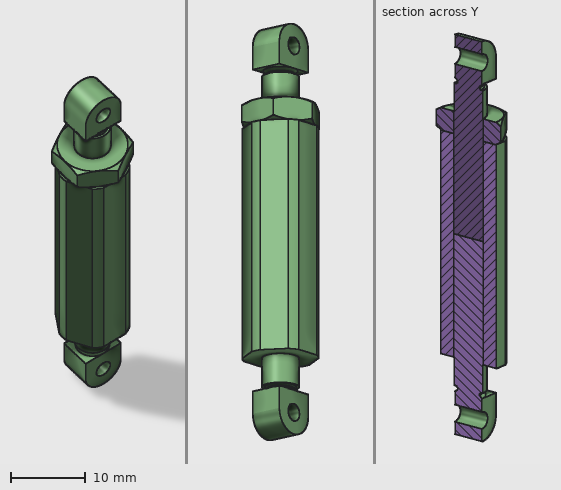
import cadquery as cq
import math


overall_length = 56.69
barrel_length = 31.75
barrel_flats = 9.525
barrel_corner_diameter = 10.24

nut_thickness = 3.175
nut_corner_width = 11.0
nut_face_diameter = 9.45
nut_chamfer_angle = 30.0

rod_diameter = 4.95
rod_exposed_length = 3.98

eye_width = 6.0
eye_thickness = 4.65
eye_hole_diameter = 2.35

neck_groove_diameter = 3.75
neck_shoulder_diameter = 4.2
neck_taper_height = 0.4
neck_land_height = 0.15
neck_flare_height = 0.25

neck_height = neck_flare_height + neck_land_height + neck_taper_height
eye_radius = eye_width / 2
assembly_half = overall_length / 2
eye_centre_z = assembly_half - eye_radius
eye_projection = (overall_length - barrel_length - nut_thickness) / 2
barrel_bottom_z = -assembly_half + eye_projection
barrel_top_z = barrel_bottom_z + barrel_length
nut_top_z = barrel_top_z + nut_thickness
shoulder_z = nut_top_z + rod_exposed_length
eye_base_z = shoulder_z + neck_height


def across_corners(flats):
    """Corner-to-corner width of a hexagon with the given width across flats."""
    return flats / math.cos(math.radians(30))


def cylinder(diameter, bottom_z, top_z):
    """Cylinder on the Z axis between two levels."""
    return cq.Workplane("XY").workplane(offset=bottom_z).circle(diameter / 2).extrude(top_z - bottom_z)


def make_barrel():
    """Hexagonal barrel with corners along Y, turned to round them off, and bored through."""
    hexagon = (
        cq.Workplane("XY")
        .workplane(offset=barrel_bottom_z)
        .polygon(6, across_corners(barrel_flats))
        .extrude(barrel_length)
        .rotate((0, 0, 0), (0, 0, 1), 30)
    )
    rounding = cylinder(barrel_corner_diameter, barrel_bottom_z, barrel_top_z)
    bore = cylinder(rod_diameter, barrel_bottom_z, barrel_top_z)
    return hexagon.intersect(rounding).cut(bore)


def make_nut():
    """Hexagonal nut with corners along X and both faces chamfered by a cone."""
    face_radius = nut_face_diameter / 2
    corner_radius = nut_corner_width / 2
    chamfer_drop = (corner_radius - face_radius) * math.tan(math.radians(nut_chamfer_angle))
    hexagon = (
        cq.Workplane("XY")
        .workplane(offset=barrel_top_z)
        .polygon(6, nut_corner_width)
        .extrude(nut_thickness)
    )
    turned_envelope = (
        cq.Workplane("XZ")
        .moveTo(0, barrel_top_z)
        .lineTo(face_radius, barrel_top_z)
        .lineTo(corner_radius, barrel_top_z + chamfer_drop)
        .lineTo(corner_radius, nut_top_z - chamfer_drop)
        .lineTo(face_radius, nut_top_z)
        .lineTo(0, nut_top_z)
        .close()
        .revolve(360, (0, 0, 0), (0, 1, 0))
    )
    bore = cylinder(rod_diameter, barrel_top_z, nut_top_z)
    return hexagon.intersect(turned_envelope).cut(bore)


def make_eye_rod():
    """Upper rod: round shank from mid-length up to a grooved neck and a flat eye pierced along X."""
    shank = (
        cq.Workplane("XZ")
        .moveTo(0, 0)
        .lineTo(rod_diameter / 2, 0)
        .lineTo(rod_diameter / 2, shoulder_z)
        .lineTo(neck_shoulder_diameter / 2, shoulder_z)
        .lineTo(neck_groove_diameter / 2, shoulder_z + neck_flare_height)
        .lineTo(neck_groove_diameter / 2, eye_base_z - neck_taper_height)
        .lineTo(eye_thickness / 2, eye_base_z)
        .lineTo(0, eye_base_z)
        .close()
        .revolve(360, (0, 0, 0), (0, 1, 0))
    )
    eye = (
        cq.Workplane("YZ")
        .moveTo(-eye_radius, eye_base_z)
        .lineTo(eye_radius, eye_base_z)
        .lineTo(eye_radius, eye_centre_z)
        .threePointArc((0, assembly_half), (-eye_radius, eye_centre_z))
        .close()
        .extrude(eye_thickness / 2, both=True)
    )
    eye_hole = (
        cq.Workplane("YZ")
        .center(0, eye_centre_z)
        .circle(eye_hole_diameter / 2)
        .extrude(eye_thickness, both=True)
    )
    return shank.union(eye).cut(eye_hole)


barrel = make_barrel()
nut = make_nut()
upper_rod = make_eye_rod()
lower_rod = make_eye_rod().mirror("XY")

result = cq.Compound.makeCompound([barrel.val(), nut.val(), upper_rod.val(), lower_rod.val()])